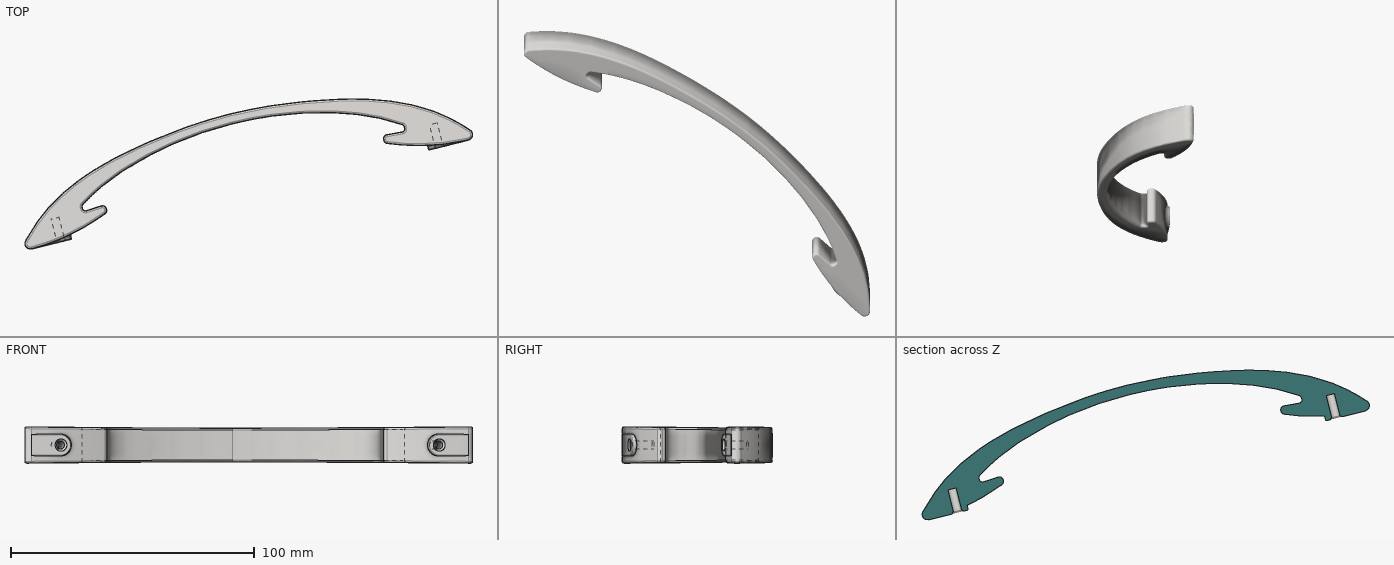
import cadquery as cq
import math

TURN_ANGLE = 14.0
HEIGHT = 15.05

HOLLOW_DEPTH = 0.55
SLAB_HALF_WIDTH = 40.0

CROWN_POINTS = [(0, 25.95), (35, 22.85), (65, 15.2), (82, 6.35)]
TIP_X = 97.3
CROWN_END_SLOPE = -1.2

GRIP_POINTS = [(0, 21.75), (35, 17.75)]
NOTCH_UPPER_CORNER = (68.1, 4.15)
GRIP_END_SLOPE = -0.68

SOLE_RADIUS = 91.0
SOLE_CENTRE_X = 93.9
SOLE_LOWEST = -8.1
HOOK_X = 58.6
HOOK_TOP = 2.25
NOTCH_BOTTOM = 1.6

TIP_ROUND = 2.25
HOOK_ROUND = 1.7
NOTCH_ROUND = 1.2
EDGE_ROUND = 0.8

HOLE_SPACING = 160.0
HOLE_DIAMETER = 3.3
HOLE_DEPTH = 10.0
COUNTERSINK_DIAMETER = 5.0
COUNTERSINK_ANGLE = 90.0
PAD_FACE_Y = -8.2
PAD_END_RADIUS = 4.5
PAD_OUTER_X = 92.4
PAD_EDGE_ROUND = 0.4
PAD_ROOT_DEPTH = 2.5


def sole_point(x):
    """Point on the lower half of the sole circle."""
    centre_y = SOLE_LOWEST + SOLE_RADIUS
    return (x, centre_y - math.sqrt(SOLE_RADIUS**2 - (x - SOLE_CENTRE_X) ** 2))


TIP = sole_point(TIP_X)
HOOK_LOWER_CORNER = sole_point(HOOK_X)
HOOK_UPPER_CORNER = (HOOK_X, HOOK_TOP)
NOTCH_LOWER_CORNER = (NOTCH_UPPER_CORNER[0], NOTCH_BOTTOM)


def half_outline(side):
    """Edges of one half of the outline, from crown top to grip top; side is +1 or -1."""

    def place(point):
        return cq.Vector(side * point[0], point[1])

    def curve(points, end_slope):
        tangents = [place((1, 0)), place((1, end_slope))]
        return cq.Edge.makeSpline([place(point) for point in points], tangents)

    def sole():
        stations = (TIP_X, (TIP_X + HOOK_X) / 2, HOOK_X)
        return cq.Edge.makeThreePointArc(*[place(sole_point(x)) for x in stations])

    def line(start, end):
        return cq.Edge.makeLine(place(start), place(end))

    return [
        curve(CROWN_POINTS + [TIP], CROWN_END_SLOPE),
        sole(),
        line(HOOK_LOWER_CORNER, HOOK_UPPER_CORNER),
        line(HOOK_UPPER_CORNER, NOTCH_LOWER_CORNER),
        line(NOTCH_LOWER_CORNER, NOTCH_UPPER_CORNER),
        curve(GRIP_POINTS + [NOTCH_UPPER_CORNER], GRIP_END_SLOPE),
    ]


def round_corners(body, corners, radius):
    """Round the upright edges that stand on the given corners, at both ends."""
    for x, y in corners:
        for side in (1, -1):
            corner = cq.selectors.NearestToPointSelector((side * x, y, 0))
            body = body.edges("|Z").edges(corner).fillet(radius)
    return body


def make_hollowed_slab():
    """Slab whose top and bottom sag towards the middle of its length."""
    middle_z = HEIGHT / 2 - HOLLOW_DEPTH
    return (
        cq.Workplane("XZ")
        .moveTo(-TIP_X, -HEIGHT / 2)
        .threePointArc((0, -middle_z), (TIP_X, -HEIGHT / 2))
        .lineTo(TIP_X, HEIGHT / 2)
        .threePointArc((0, middle_z), (-TIP_X, HEIGHT / 2))
        .close()
        .extrude(SLAB_HALF_WIDTH, both=True)
    )


def make_body():
    outline = cq.Wire.assembleEdges(half_outline(1) + half_outline(-1))
    prism = cq.Solid.extrudeLinear(outline, [], cq.Vector(0, 0, HEIGHT))
    body = cq.Workplane(prism.translate(cq.Vector(0, 0, -HEIGHT / 2)))
    body = body.intersect(make_hollowed_slab())
    body = round_corners(body, [TIP], TIP_ROUND)
    body = round_corners(body, [HOOK_LOWER_CORNER, HOOK_UPPER_CORNER], HOOK_ROUND)
    body = round_corners(body, [NOTCH_LOWER_CORNER, NOTCH_UPPER_CORNER], NOTCH_ROUND)
    return body.edges("not |Z").fillet(EDGE_ROUND)


def pad_plane(side):
    """Plane of a pad face, centred on its hole, facing down; local X runs to the tip."""
    hole_x = side * HOLE_SPACING / 2
    return cq.Plane(origin=(hole_x, PAD_FACE_Y, 0), xDir=(side, 0, 0), normal=(0, -1, 0))


def make_pad(side):
    length = PAD_OUTER_X - HOLE_SPACING / 2
    return (
        cq.Workplane(pad_plane(side))
        .moveTo(length, PAD_END_RADIUS)
        .lineTo(0, PAD_END_RADIUS)
        .threePointArc((-PAD_END_RADIUS, 0), (0, -PAD_END_RADIUS))
        .lineTo(length, -PAD_END_RADIUS)
        .close()
        .extrude(-PAD_ROOT_DEPTH)
        .faces("<Y")
        .edges("|X or %CIRCLE")
        .fillet(PAD_EDGE_ROUND)
    )


def drill_hole(body, side):
    return body.copyWorkplane(cq.Workplane(pad_plane(side))).cskHole(
        HOLE_DIAMETER, COUNTERSINK_DIAMETER, COUNTERSINK_ANGLE, HOLE_DEPTH
    )


handle = make_body()
for end in (1, -1):
    handle = drill_hole(handle.union(make_pad(end)), end)

result = handle.rotate((0, 0, 0), (0, 0, 1), TURN_ANGLE)